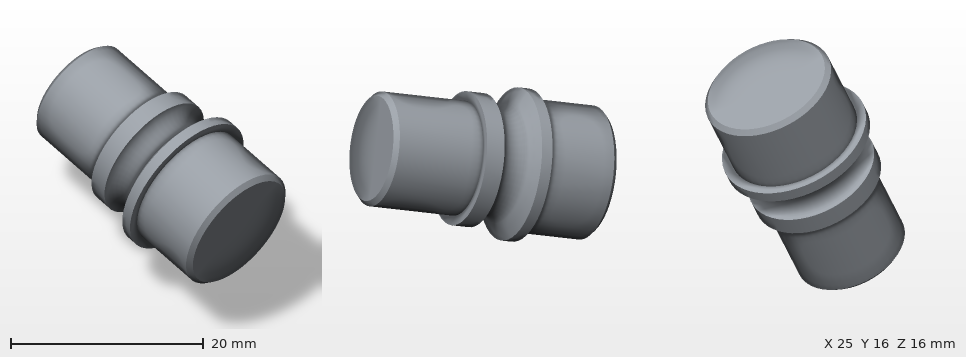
import cadquery as cq
import math

total_length = 25.0
spigot_length = 10.0
spigot_radius = 6.0
body_radius = 7.0
collar_width = 2.0
flange_radius = 8.0
flange_end_x = 17.0
groove_radius = 1.5
cone_angle = math.radians(60.0)
end_chamfer = 0.5

collar_end_x = spigot_length + collar_width
groove_center_x = collar_end_x + groove_radius
groove_floor_radius = body_radius - groove_radius
cone_start_x = groove_center_x + groove_radius * math.sin(cone_angle)
cone_start_radius = body_radius - groove_radius * math.cos(cone_angle)
cone_end_x = cone_start_x + (flange_radius - cone_start_radius) / math.tan(cone_angle)


def turned_profile():
    """Closed half section in the XZ plane, with the axis as its lower edge."""
    return (
        cq.Workplane("XZ")
        .moveTo(0, 0)
        .lineTo(0, spigot_radius - end_chamfer)
        .lineTo(end_chamfer, spigot_radius)
        .lineTo(spigot_length, spigot_radius)
        .lineTo(spigot_length, body_radius)
        .lineTo(collar_end_x, body_radius)
        .threePointArc(
            (groove_center_x, groove_floor_radius),
            (cone_start_x, cone_start_radius),
        )
        .lineTo(cone_end_x, flange_radius)
        .lineTo(flange_end_x, flange_radius)
        .lineTo(flange_end_x, body_radius)
        .lineTo(total_length - end_chamfer, body_radius)
        .lineTo(total_length, body_radius - end_chamfer)
        .lineTo(total_length, 0)
        .close()
    )


result = turned_profile().revolve(360, (0, 0, 0), (1, 0, 0))